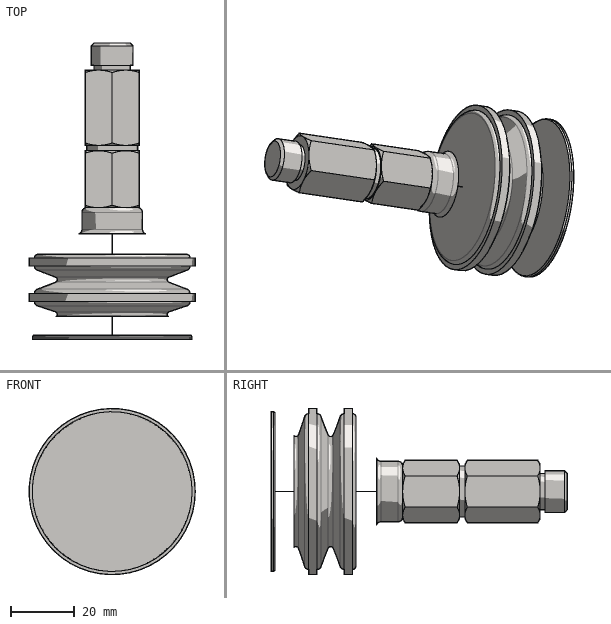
import cadquery as cq
import math

TOTAL_LENGTH = 92.7

DISC_DIAMETER = 50.0
DISC_THICKNESS = 1.3
DISC_BEVEL_HEIGHT = 0.6
DISC_BEVEL_WIDTH = 0.3

RIM_DIAMETER = 52.0
RIM_THICKNESS = 2.6
FIRST_RIM_Y = 11.8
FOLD_PITCH = 11.1
FOLD_RADIUS = 24.4
FOLD_ROUND = 1.4
END_ROUND = 1.1
NECK_RADIUS = 17.2
NECK_ROUND = 0.8
MOUTH_NECK_DEPTH = 4.0
MOUTH_LIP = 0.65

FLARE_Y = 33.0
FLARE_WIDTH = 0.9
COLLAR_DIAMETER = 19.0
COLLAR_LENGTH = 8.2
COLLAR_ROUND = 1.5
HEX_ACROSS_FLATS = 17.0
HEX_CHAMFER_ANGLE = 30.0
HEX_HALF_SIDE_ANGLE = 30.0
LOWER_HEX_LENGTH = 17.8
GROOVE_DIAMETER = 16.0
GROOVE_LENGTH = 1.7
UPPER_HEX_LENGTH = 23.5
NECK_DIAMETER = 11.4
HEAD_DIAMETER = 13.2
HEAD_LENGTH = 7.0
HEAD_CHAMFER = 0.9

CORE_DIAMETER = 0.1


def rod(diameter, start_y, end_y):
    """Cylinder on the Y axis."""
    plane = cq.Workplane("XZ", origin=(0, start_y, 0))
    return plane.circle(diameter / 2).extrude(start_y - end_y)


def turned(profile):
    """Close an outline of (radius, y) points and turn it about the Y axis."""
    return profile.close().revolve(360, (0, 0, 0), (0, 1, 0))


def circle_point(center, radius, angle):
    """Point at an angle (radians) measured from +radius towards +Y."""
    return (center[0] + radius * math.cos(angle), center[1] + radius * math.sin(angle))


def add_arc(profile, center, radius, start_angle, end_angle):
    """Continue the outline with an arc, after a straight line to the start of the arc."""
    middle_angle = (start_angle + end_angle) / 2
    start, middle, end = (
        circle_point(center, radius, angle) for angle in (start_angle, middle_angle, end_angle)
    )
    return profile.lineTo(*start).threePointArc(middle, end)


def flank_angle(neck_depth):
    """Slope of the normal of the cone that touches both the fold rounding and the neck rounding."""
    radial_gap = (FOLD_RADIUS - FOLD_ROUND) - (NECK_RADIUS + NECK_ROUND)
    gap = math.hypot(radial_gap, neck_depth)
    return math.pi - math.atan2(neck_depth, radial_gap) - math.acos((FOLD_ROUND + NECK_ROUND) / gap)


def make_disc():
    radius = DISC_DIAMETER / 2
    return turned(
        cq.Workplane("XY")
        .lineTo(radius, 0)
        .lineTo(radius, DISC_THICKNESS - DISC_BEVEL_HEIGHT)
        .lineTo(radius - DISC_BEVEL_WIDTH, DISC_THICKNESS)
        .lineTo(0, DISC_THICKNESS)
    )


def make_bellows():
    fold_center = FOLD_RADIUS - FOLD_ROUND
    neck_center = NECK_RADIUS + NECK_ROUND
    first_rim_end = FIRST_RIM_Y + RIM_THICKNESS
    second_rim = FIRST_RIM_Y + FOLD_PITCH
    second_rim_end = second_rim + RIM_THICKNESS
    neck_depth = (second_rim - first_rim_end) / 2
    mouth_neck = FIRST_RIM_Y - MOUTH_NECK_DEPTH
    mouth_y = mouth_neck - MOUTH_LIP

    lip_angle = math.pi + math.asin(MOUTH_LIP / NECK_ROUND)
    mouth_flank = flank_angle(MOUTH_NECK_DEPTH)
    flank = flank_angle(neck_depth)

    profile = cq.Workplane("XY").moveTo(0, mouth_y)
    profile = add_arc(profile, (neck_center, mouth_neck), NECK_ROUND, lip_angle, math.pi - mouth_flank)
    profile = add_arc(profile, (fold_center, FIRST_RIM_Y), FOLD_ROUND, -mouth_flank, 0)
    profile = add_arc(profile, (fold_center, first_rim_end), FOLD_ROUND, 0, flank)
    neck = (neck_center, first_rim_end + neck_depth)
    profile = add_arc(profile, neck, NECK_ROUND, math.pi + flank, math.pi - flank)
    profile = add_arc(profile, (fold_center, second_rim), FOLD_ROUND, -flank, 0)
    end_center = (FOLD_RADIUS - END_ROUND, second_rim_end)
    profile = add_arc(profile, end_center, END_ROUND, 0, math.pi / 2)
    bellows = turned(profile.lineTo(0, second_rim_end + END_ROUND))

    for rim_y in (FIRST_RIM_Y, second_rim):
        bellows = bellows.union(rod(RIM_DIAMETER, rim_y, rim_y + RIM_THICKNESS))
    return bellows


def make_collar():
    radius = COLLAR_DIAMETER / 2
    end_y = FLARE_Y + COLLAR_LENGTH
    flare_angle = math.acos(1 - FLARE_WIDTH / COLLAR_ROUND)
    flare_center = (radius + COLLAR_ROUND, FLARE_Y + COLLAR_ROUND * math.sin(flare_angle))
    profile = cq.Workplane("XY").moveTo(0, FLARE_Y)
    profile = add_arc(profile, flare_center, COLLAR_ROUND, math.pi + flare_angle, math.pi)
    round_center = (radius - COLLAR_ROUND, end_y - COLLAR_ROUND)
    profile = add_arc(profile, round_center, COLLAR_ROUND, 0, math.pi / 2)
    return turned(profile.lineTo(0, end_y))


def make_hexagon(start_y, length):
    """Hexagon with two flats facing +X and -X, its corners chamfered at both ends."""
    flat_radius = HEX_ACROSS_FLATS / 2
    corner_radius = flat_radius / math.cos(math.radians(HEX_HALF_SIDE_ANGLE))
    chamfer = (corner_radius - flat_radius) * math.tan(math.radians(HEX_CHAMFER_ANGLE))
    end_y = start_y + length

    hexagon = (
        cq.Workplane("XZ", origin=(0, start_y, 0))
        .polygon(6, 2 * corner_radius)
        .extrude(-length)
        .rotate((0, 0, 0), (0, 1, 0), HEX_HALF_SIDE_ANGLE)
    )
    envelope = turned(
        cq.Workplane("XY")
        .moveTo(0, start_y)
        .lineTo(flat_radius, start_y)
        .lineTo(corner_radius, start_y + chamfer)
        .lineTo(corner_radius, end_y - chamfer)
        .lineTo(flat_radius, end_y)
        .lineTo(0, end_y)
    )
    return hexagon.intersect(envelope)


def make_stem():
    lower_hex = FLARE_Y + COLLAR_LENGTH
    groove = lower_hex + LOWER_HEX_LENGTH
    upper_hex = groove + GROOVE_LENGTH
    neck = upper_hex + UPPER_HEX_LENGTH
    head = TOTAL_LENGTH - HEAD_LENGTH

    stem = make_collar()
    stem = stem.union(make_hexagon(lower_hex, LOWER_HEX_LENGTH))
    stem = stem.union(rod(GROOVE_DIAMETER, groove, upper_hex))
    stem = stem.union(make_hexagon(upper_hex, UPPER_HEX_LENGTH))
    stem = stem.union(rod(NECK_DIAMETER, neck, head))
    return stem.union(rod(HEAD_DIAMETER, head, TOTAL_LENGTH).faces(">Y").chamfer(HEAD_CHAMFER))


core = rod(CORE_DIAMETER, DISC_THICKNESS / 2, FLARE_Y + COLLAR_LENGTH)
result = core.union(make_disc()).union(make_bellows()).union(make_stem())